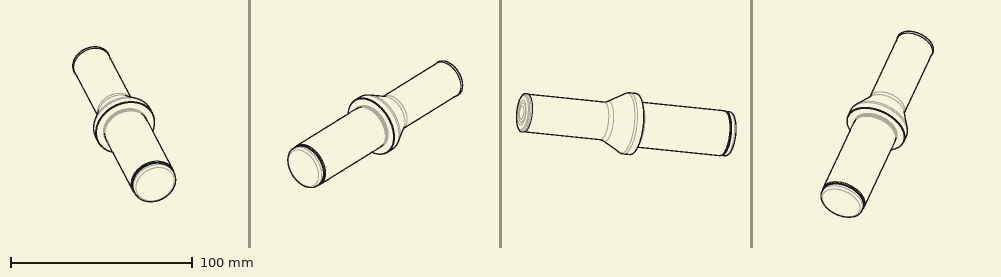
import cadquery as cq
import math

SIN_45 = math.sqrt(0.5)


NECK_RADIUS = 21.0 / 2
NECK_END_X = 47.3

TIP_LENGTH = 2.5
TIP_WIDEST_X = 1.5
TIP_RADIUS = 21.5 / 2
TIP_FACE_RADIUS = 9.4
TIP_SHOULDER_RADIUS = 10.2
TIP_SHOULDER_X = 0.4
OUTER_CREST_RADIUS = 6.8
VALLEY_RADIUS = 5.4
INNER_CREST_RADIUS = 3.5
WAVE_SLOPE = math.tan(math.radians(8))

FLANGE_RADIUS = 34.0 / 2
FLANGE_START_X = 61.7
FLANGE_END_X = 65.8
FLANGE_CHAMFER = 0.4
CONE_ANGLE = math.radians(28)
CONE_TOP_RADIUS = 2.9

SHANK_RADIUS = 25.0 / 2
RELIEF_RADIUS = 24.5 / 2
RELIEF_FILLET = 0.4
RELIEF_FLAT_END_X = 66.9
SHANK_START_X = 67.8
SHANK_END_X = 117.9
GROOVE_START_X = 118.6
GROOVE_WIDTH = 0.4
GROOVE_DEPTH = 0.4
END_ROUND_X = 120.8
LENGTH = 122.0


def revolve_about_x(profile):
    return profile.close().revolve(360, (0, 0, 0), (1, 0, 0))


def make_tip():
    """Short disc with a rounded rim and two shallow conical crests on its end face."""
    inner_crest_x = 0
    center_x = INNER_CREST_RADIUS * WAVE_SLOPE
    valley_x = (VALLEY_RADIUS - INNER_CREST_RADIUS) * WAVE_SLOPE
    outer_crest_x = valley_x - (OUTER_CREST_RADIUS - VALLEY_RADIUS) * WAVE_SLOPE
    face_edge_x = outer_crest_x + (TIP_FACE_RADIUS - OUTER_CREST_RADIUS) * WAVE_SLOPE
    corner_x = face_edge_x + TIP_SHOULDER_X
    corner_mid = (
        TIP_WIDEST_X - (TIP_WIDEST_X - corner_x) * SIN_45,
        TIP_SHOULDER_RADIUS + (TIP_RADIUS - TIP_SHOULDER_RADIUS) * SIN_45,
    )

    back_length = TIP_LENGTH - TIP_WIDEST_X
    back_drop = TIP_RADIUS - NECK_RADIUS
    back_radius = (back_length**2 + back_drop**2) / (2 * back_drop)
    half_angle = math.asin(back_length / back_radius) / 2
    back_mid = (
        TIP_WIDEST_X + back_radius * math.sin(half_angle),
        TIP_RADIUS - back_radius * (1 - math.cos(half_angle)),
    )
    profile = (
        cq.Workplane("XY")
        .moveTo(TIP_LENGTH, 0)
        .lineTo(center_x, 0)
        .lineTo(inner_crest_x, INNER_CREST_RADIUS)
        .lineTo(valley_x, VALLEY_RADIUS)
        .lineTo(outer_crest_x, OUTER_CREST_RADIUS)
        .lineTo(face_edge_x, TIP_FACE_RADIUS)
        .lineTo(corner_x, TIP_SHOULDER_RADIUS)
        .threePointArc(corner_mid, (TIP_WIDEST_X, TIP_RADIUS))
        .threePointArc(back_mid, (TIP_LENGTH, NECK_RADIUS))
    )
    return revolve_about_x(profile)


def make_holder():
    """Neck, conical flange and shank, turned as one piece."""
    cone_end = (
        FLANGE_START_X - CONE_TOP_RADIUS * math.sin(CONE_ANGLE),
        FLANGE_RADIUS - CONE_TOP_RADIUS * (1 - math.cos(CONE_ANGLE)),
    )
    rim_mid = (
        FLANGE_START_X - CONE_TOP_RADIUS * math.sin(CONE_ANGLE / 2),
        FLANGE_RADIUS - CONE_TOP_RADIUS * (1 - math.cos(CONE_ANGLE / 2)),
    )

    cone_foot_x = cone_end[0] - (cone_end[1] - NECK_RADIUS) / math.tan(CONE_ANGLE)
    neck_fillet = (cone_foot_x - NECK_END_X) / math.tan(CONE_ANGLE / 2)
    cone_start = (
        NECK_END_X + neck_fillet * math.sin(CONE_ANGLE),
        NECK_RADIUS + neck_fillet * (1 - math.cos(CONE_ANGLE)),
    )
    neck_mid = (
        NECK_END_X + neck_fillet * math.sin(CONE_ANGLE / 2),
        NECK_RADIUS + neck_fillet * (1 - math.cos(CONE_ANGLE / 2)),
    )

    end_round = LENGTH - END_ROUND_X
    end_mid = (
        END_ROUND_X + end_round * SIN_45,
        RELIEF_RADIUS - end_round * (1 - SIN_45),
    )
    relief_mid = (
        FLANGE_END_X + RELIEF_FILLET * (1 - SIN_45),
        RELIEF_RADIUS + RELIEF_FILLET * (1 - SIN_45),
    )
    groove_end_x = GROOVE_START_X + GROOVE_WIDTH
    groove_radius = RELIEF_RADIUS - GROOVE_DEPTH

    profile = (
        cq.Workplane("XY")
        .moveTo(TIP_LENGTH, 0)
        .lineTo(TIP_LENGTH, NECK_RADIUS)
        .lineTo(NECK_END_X, NECK_RADIUS)
        .threePointArc(neck_mid, cone_start)
        .lineTo(*cone_end)
        .threePointArc(rim_mid, (FLANGE_START_X, FLANGE_RADIUS))
        .lineTo(FLANGE_END_X - FLANGE_CHAMFER, FLANGE_RADIUS)
        .lineTo(FLANGE_END_X, FLANGE_RADIUS - FLANGE_CHAMFER)
        .lineTo(FLANGE_END_X, RELIEF_RADIUS + RELIEF_FILLET)
        .threePointArc(relief_mid, (FLANGE_END_X + RELIEF_FILLET, RELIEF_RADIUS))
        .lineTo(RELIEF_FLAT_END_X, RELIEF_RADIUS)
        .lineTo(SHANK_START_X, SHANK_RADIUS)
        .lineTo(SHANK_END_X, SHANK_RADIUS)
        .lineTo(GROOVE_START_X, RELIEF_RADIUS)
        .lineTo(GROOVE_START_X, groove_radius)
        .lineTo(groove_end_x, groove_radius)
        .lineTo(groove_end_x, RELIEF_RADIUS)
        .lineTo(END_ROUND_X, RELIEF_RADIUS)
        .threePointArc(end_mid, (LENGTH, RELIEF_RADIUS - end_round))
        .lineTo(LENGTH, 0)
    )
    return revolve_about_x(profile)


tip = make_tip()
holder = make_holder()
result = cq.Compound.makeCompound([tip.val(), holder.val()])